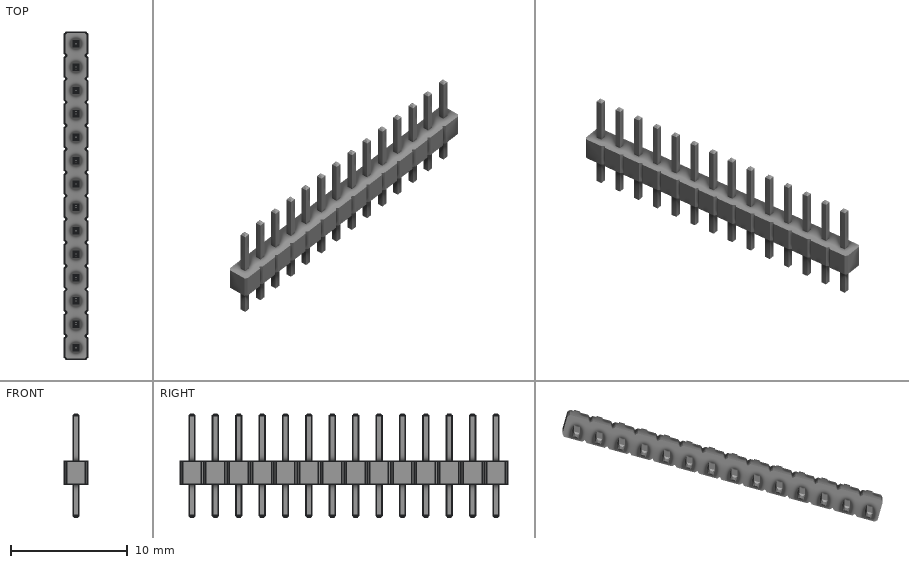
import cadquery as cq

pin_count = 14
strip_length = 28.0
pitch = strip_length / pin_count

strip_width = 2.0
strip_height = 2.0
corner_chamfer = 0.2

pin_side = 0.5
pin_above = 4.0
pin_below = 2.8
tip_chamfer = 0.15


first_y = -(pin_count - 1) * pitch / 2
pin_centers = [(0, first_y + index * pitch) for index in range(pin_count)]


def cell_outline():
    """Closed octagonal outline of one cell, centered on its pin."""
    half_x = strip_width / 2
    half_y = pitch / 2
    inner_x = half_x - corner_chamfer
    inner_y = half_y - corner_chamfer
    return [
        (half_x, -inner_y),
        (half_x, inner_y),
        (inner_x, half_y),
        (-inner_x, half_y),
        (-half_x, inner_y),
        (-half_x, -inner_y),
        (-inner_x, -half_y),
        (inner_x, -half_y),
        (half_x, -inner_y),
    ]


def make_strip():
    """Row of chamfered cells; neighbouring chamfers form V notches between the pins."""
    profile = cq.Sketch()
    for center in pin_centers:
        profile = profile.push([center]).polygon(cell_outline()).reset()
    return cq.Workplane("XY").placeSketch(profile.clean()).extrude(strip_height)


def make_pins():
    """All pins, running through the strip from below to above it."""
    pin_length = pin_below + strip_height + pin_above
    return (
        cq.Workplane("XY")
        .workplane(offset=-pin_below)
        .pushPoints(pin_centers)
        .rect(pin_side, pin_side)
        .extrude(pin_length)
        .faces("<Z or >Z")
        .chamfer(tip_chamfer)
    )


result = make_strip().union(make_pins())